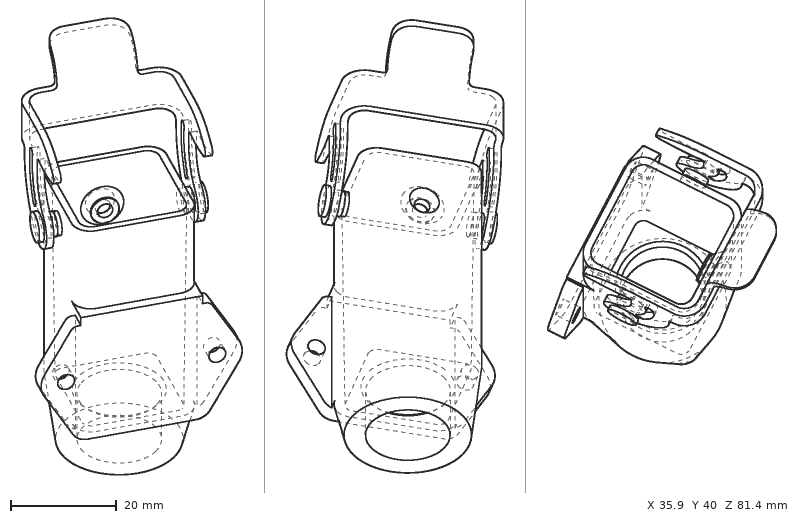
import cadquery as cq
import math


housing_width = 24.2
housing_height = 57.4
housing_corner = 3.75
taper_height = 11.4

mouth_width = 21.3
floor_width = 20.2
mouth_corner = 2.45
bore_diameter = 16.0
bore_chamfer = 0.9

flange_back = 14.2
flange_thickness = 3.6
block_top = 39.55
flange_bottom = 11.4
flange_top = 37.8
lug_spacing = 30.0
lug_height = 25.4
lug_radius = 5.0
lug_hole_diameter = 3.3
flank_angle = 60.0
flange_top_fillet = 1.6
flange_bottom_fillet = 3.3

screw_height = 46.6
screw_diameter = 3.0
countersink_diameter = 5.8
countersink_depth = 1.7
boss_base_diameter = 8.8
boss_tip_diameter = 5.6
boss_tip_x = -8.7

sheet = 1.5
strap_front = -15.0
strap_half_width = 15.8
bend_radius = 4.5
strap_bottom = 64.55
strap_top = 73.0

pivot_height = 52.0
eye_radius = 4.4
arm_front = -9.5
arm_rear = -1.5
arm_fillet = 1.0
arc_top = 62.7

nose_arc_start = -1.8
nose_top = (7.8, 69.6)
nose_tip = (8.8, 68.2)
nose_bottom = (7.2, 66.8)
finger_low = (3.25, 66.4)
finger_root = (-0.65, 66.7)

slot_center = (9.9, 63.3)
slot_radius = 15.4
slot_width = 1.7
slot_angles = (171.4, 210.5)

tab_tip = -21.7
tab_top = 81.4
tab_width = 16.0
tab_corner = 4.0
tab_root_fillet = 1.0

stud_head_diameter = 6.0
stud_shank_diameter = 5.0
stud_end_diameter = 4.8
stud_head_y = 16.8
stud_step_y = 12.95

half_width = housing_width / 2
corner_offset = half_width - housing_corner
strap_inner_half = strap_half_width - sheet


def rounded_square(width, corner):
    return cq.Sketch().rect(width, width).vertices().fillet(corner)


def make_taper():
    """Transition from the rounded square to the round end: four corner cones and four flat triangles."""
    upper_arcs = []
    lower_arcs = []
    for start in (0, 90, 180, 270):
        middle = math.radians(start + 45)
        center = cq.Vector(
            math.sqrt(2) * corner_offset * math.cos(middle),
            math.sqrt(2) * corner_offset * math.sin(middle),
            taper_height,
        )
        upper_arcs.append(cq.Edge.makeCircle(housing_corner, center, cq.Vector(0, 0, 1), start, start + 90))
        lower_arcs.append(cq.Edge.makeCircle(half_width, angle1=start, angle2=start + 90))

    faces = [cq.Face.makeRuledSurface(low, up) for low, up in zip(lower_arcs, upper_arcs)]
    upper_sides = []
    for i, arc in enumerate(upper_arcs):
        next_arc = upper_arcs[(i + 1) % 4]
        apex = lower_arcs[i].endPoint()
        side = cq.Edge.makeLine(arc.endPoint(), next_arc.startPoint())
        legs = [cq.Edge.makeLine(next_arc.startPoint(), apex), cq.Edge.makeLine(apex, arc.endPoint())]
        faces.append(cq.Face.makeFromWires(cq.Wire.assembleEdges([side] + legs)))
        upper_sides.append(side)

    faces.append(cq.Face.makeFromWires(cq.Wire.combine(upper_arcs + upper_sides)[0]))
    faces.append(cq.Face.makeFromWires(cq.Wire.assembleEdges(lower_arcs)))
    solid = cq.Solid.makeSolid(cq.Shell.makeShell(faces))
    return cq.Workplane(solid.fix())


def make_flange():
    """Backing block across the housing and a thinner plate with a round lug and a hole on each side."""
    lug_y = lug_spacing / 2
    slope = math.radians(flank_angle)
    tangent_y = lug_y + lug_radius * math.sin(slope)
    tangent_rise = lug_radius * math.cos(slope)
    upper_y = tangent_y - (flange_top - lug_height - tangent_rise) / math.tan(slope)
    lower_y = tangent_y - (lug_height - tangent_rise - flange_bottom) / math.tan(slope)
    block_depth = flange_back - corner_offset
    plate = (
        cq.Workplane("YZ", origin=(corner_offset, 0, 0))
        .moveTo(-upper_y, flange_top)
        .lineTo(upper_y, flange_top)
        .lineTo(tangent_y, lug_height + tangent_rise)
        .threePointArc((lug_y + lug_radius, lug_height), (tangent_y, lug_height - tangent_rise))
        .lineTo(lower_y, flange_bottom)
        .lineTo(-lower_y, flange_bottom)
        .lineTo(-tangent_y, lug_height - tangent_rise)
        .threePointArc((-lug_y - lug_radius, lug_height), (-tangent_y, lug_height + tangent_rise))
        .close()
        .extrude(block_depth)
    )
    plate = plate.edges("|X").edges(">Z").fillet(flange_top_fillet)
    plate = plate.edges("|X").edges("<Z").fillet(flange_bottom_fillet)
    holes = (
        cq.Workplane("YZ", origin=(flange_back - flange_thickness, 0, 0))
        .pushPoints([(-lug_y, lug_height), (lug_y, lug_height)])
        .circle(lug_hole_diameter / 2)
        .extrude(flange_thickness)
    )

    def block_box(bottom, top):
        box = cq.Workplane("XY").box(block_depth, housing_width, top - bottom, centered=(False, True, False))
        return box.translate((corner_offset, 0, bottom))

    lower_block = plate.intersect(block_box(flange_bottom, lug_height))
    upper_block = block_box(lug_height, block_top)
    thin_plate = plate.faces("<X").workplane().rect(2 * lug_spacing, 4 * lug_height).cutBlind(
        flange_thickness - block_depth
    )
    return lower_block.union(upper_block).union(thin_plate).cut(holes)


def make_cavity():
    """Drafted cavity, and the bore through its floor with a chamfered rim."""
    floor_corner = mouth_corner - (mouth_width - floor_width) / 2
    mouth_place = cq.Location(cq.Vector(0, 0, housing_height - taper_height))
    cavity = (
        cq.Workplane("XY", origin=(0, 0, taper_height))
        .placeSketch(
            rounded_square(floor_width, floor_corner),
            rounded_square(mouth_width, mouth_corner).moved(mouth_place),
        )
        .loft()
    )
    bore_radius = bore_diameter / 2
    bore = cq.Workplane("XY").circle(bore_radius).extrude(taper_height)
    rim = cq.Solid.makeCone(
        bore_radius, bore_radius + bore_chamfer, bore_chamfer, cq.Vector(0, 0, taper_height - bore_chamfer)
    )
    return cavity.union(bore).union(cq.Workplane(rim))


def revolve_about_screw(outline):
    """Turn an (x, radius) outline about the screw axis, which runs along X."""
    return (
        cq.Workplane("XZ", origin=(0, 0, screw_height))
        .polyline(outline)
        .close()
        .revolve(360, (0, 0, 0), (1, 0, 0))
    )


def make_screw_boss():
    base_radius = boss_base_diameter / 2
    tip_radius = boss_tip_diameter / 2
    wall_x = -mouth_width / 2
    cone_end_x = wall_x + base_radius - tip_radius
    root_x = -half_width + (half_width + wall_x) / 2
    return revolve_about_screw([
        (root_x, 0),
        (root_x, base_radius),
        (wall_x, base_radius),
        (cone_end_x, tip_radius),
        (boss_tip_x, tip_radius),
        (boss_tip_x, 0),
    ])


def make_screw_hole():
    outer_radius = countersink_diameter / 2
    hole_radius = screw_diameter / 2
    cone_end_x = -half_width + countersink_depth
    return revolve_about_screw([
        (-half_width, 0),
        (-half_width, outer_radius),
        (cone_end_x, hole_radius),
        (boss_tip_x, hole_radius),
        (boss_tip_x, 0),
    ])


def make_housing():
    sleeve = (
        cq.Workplane("XY", origin=(0, 0, taper_height))
        .placeSketch(rounded_square(housing_width, housing_corner))
        .extrude(housing_height - taper_height)
    )
    shell = sleeve.union(make_taper()).union(make_flange()).cut(make_cavity())
    return shell.union(make_screw_boss()).cut(make_screw_hole())


def edge_to_eye_radius(offset, rise, eye):
    """Radius of an arc that starts vertical at this offset and rise from the pivot and is tangent to the eye.

    A positive eye radius gives an arc wrapping round the eye, a negative one an arc curving away from it.
    """
    return (offset**2 + rise**2 - eye**2) / (2 * (offset - eye))


def make_side_profile():
    """Side outline of the lever: strap, finger, curved arm and pivot eye, with the curved slot cut out."""
    rise = arc_top - pivot_height
    front_radius = edge_to_eye_radius(-arm_front, rise, eye_radius)
    front_center = (arm_front + front_radius, rise)
    front_angle = math.atan2(-front_center[1], -front_center[0])
    rear_radius = edge_to_eye_radius(-arm_rear, rise, -eye_radius)
    rear_center = (arm_rear + rear_radius, rise)
    rear_angle = math.atan2(rear_center[1], rear_center[0])

    def on_eye(angle):
        return (eye_radius * math.cos(angle), pivot_height + eye_radius * math.sin(angle))

    depth = 2 * strap_half_width
    blank = (
        cq.Workplane("XZ", origin=(0, strap_half_width, 0))
        .moveTo(strap_front, strap_bottom)
        .lineTo(strap_front, strap_top)
        .lineTo(nose_arc_start, strap_top)
        .tangentArcPoint(nose_top, relative=False)
        .threePointArc(nose_tip, nose_bottom)
        .threePointArc(finger_low, finger_root)
        .tangentArcPoint((arm_rear, finger_root[1] - arm_fillet), relative=False)
        .lineTo(arm_rear, arc_top)
        .tangentArcPoint(on_eye(rear_angle), relative=False)
        .threePointArc(on_eye((rear_angle + front_angle) / 2), on_eye(front_angle))
        .tangentArcPoint((arm_front, arc_top), relative=False)
        .lineTo(arm_front, strap_bottom - arm_fillet)
        .tangentArcPoint((arm_front - arm_fillet, strap_bottom), relative=False)
        .close()
        .extrude(depth)
    )

    def on_slot(radius, angle):
        turn = math.radians(angle)
        return (slot_center[0] + radius * math.cos(turn), slot_center[1] + radius * math.sin(turn))

    outer = slot_radius + slot_width / 2
    inner = slot_radius - slot_width / 2
    upper_angle, lower_angle = slot_angles
    middle_angle = (upper_angle + lower_angle) / 2
    slot = (
        cq.Workplane("XZ", origin=(0, strap_half_width, 0))
        .moveTo(*on_slot(outer, upper_angle))
        .threePointArc(on_slot(outer, middle_angle), on_slot(outer, lower_angle))
        .tangentArcPoint(on_slot(inner, lower_angle), relative=False)
        .threePointArc(on_slot(inner, middle_angle), on_slot(inner, upper_angle))
        .tangentArcPoint(on_slot(outer, upper_angle), relative=False)
        .close()
        .extrude(depth)
    )
    return blank.cut(slot)


def make_strap():
    """U-shaped bent sheet trimmed to the side outline."""
    rear = nose_tip[0] + eye_radius
    bottom = pivot_height - eye_radius
    height = strap_top - bottom

    def bent_block(front, half, radius):
        block = cq.Workplane("XY").box(rear - front, 2 * half, height, centered=(False, True, False))
        return block.translate((front, 0, bottom)).edges("|Z and <X").fillet(radius)

    outside = bent_block(strap_front, strap_half_width, bend_radius)
    inside = bent_block(strap_front + sheet, strap_inner_half, bend_radius - sheet)
    return outside.cut(inside).intersect(make_side_profile())


def make_tab():
    """Finger tab curling forward from the strap, with round corners and filleted roots."""
    outer_radius = strap_front + sheet - tab_tip
    inner_radius = outer_radius - sheet
    center_z = tab_top - outer_radius
    diagonal = math.sqrt(0.5)
    half_tab = tab_width / 2
    half_root = half_tab + tab_root_fillet
    curl = (
        cq.Workplane("XZ", origin=(0, half_root, 0))
        .moveTo(strap_front + sheet, strap_top)
        .lineTo(strap_front + sheet, center_z)
        .threePointArc(
            (tab_tip + outer_radius * diagonal, center_z + outer_radius * diagonal), (tab_tip, tab_top)
        )
        .lineTo(tab_tip, tab_top - sheet)
        .threePointArc(
            (tab_tip + inner_radius * diagonal, center_z + inner_radius * diagonal), (strap_front, center_z)
        )
        .lineTo(strap_front, strap_top)
        .close()
        .extrude(2 * half_root)
    )
    tab_length = strap_front + sheet - tab_tip
    plan = (
        cq.Workplane("XY")
        .box(tab_length, tab_width, tab_top - strap_top, centered=(False, True, False))
        .translate((tab_tip, 0, strap_top))
        .edges("|Z and <X")
        .fillet(tab_corner)
    )
    root = (
        cq.Workplane("YZ", origin=(tab_tip, 0, 0))
        .moveTo(-half_root, strap_top)
        .lineTo(half_root, strap_top)
        .radiusArc((half_tab, strap_top + tab_root_fillet), tab_root_fillet)
        .lineTo(-half_tab, strap_top + tab_root_fillet)
        .radiusArc((-half_root, strap_top), tab_root_fillet)
        .close()
        .extrude(tab_length)
    )
    return curl.intersect(plan.union(root))


def make_stud(side):
    """Pivot stud from the housing wall through the lever arm; side is -1 or 1 along Y."""
    stud = None
    sections = [
        (half_width, stud_step_y, stud_end_diameter),
        (stud_step_y, strap_half_width, stud_shank_diameter),
        (strap_half_width, stud_head_y, stud_head_diameter),
    ]
    for start, end, diameter in sections:
        base = cq.Vector(0, side * start, pivot_height)
        cylinder = cq.Workplane(cq.Solid.makeCylinder(diameter / 2, end - start, base, cq.Vector(0, side, 0)))
        stud = cylinder if stud is None else stud.union(cylinder)
    return stud


def make_lever():
    lever = make_strap().union(make_tab())
    for side in (-1, 1):
        lever = lever.union(make_stud(side))
    return lever


housing = make_housing()
lever = make_lever()

result = cq.Compound.makeCompound([housing.solids().val(), lever.solids().val()])